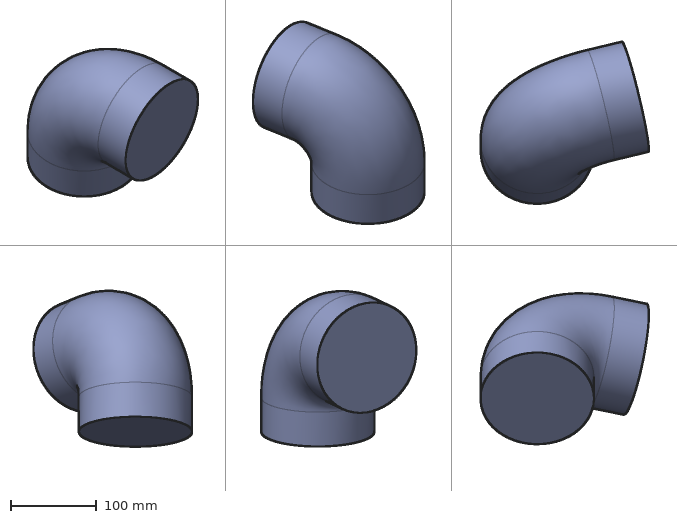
import cadquery as cq

overall_size = 184.2
pipe_diameter = 132.7
collar_length = 41.8

pipe_radius = pipe_diameter / 2
bend_radius = overall_size - collar_length - pipe_radius


def straight_collar(plane):
    """Cylindrical end collar running along the normal of the plane."""
    return cq.Workplane(plane).circle(pipe_radius).extrude(collar_length)


lower_collar = straight_collar(cq.Plane.XY())

bend = (
    cq.Workplane("XY", origin=(0, 0, collar_length))
    .circle(pipe_radius)
    .revolve(90, (bend_radius, 0, 0), (bend_radius, 1, 0))
)

bend_exit = (bend_radius, 0, collar_length + bend_radius)
side_collar = straight_collar(cq.Plane.YZ(origin=bend_exit))

result = lower_collar.union(bend).union(side_collar)